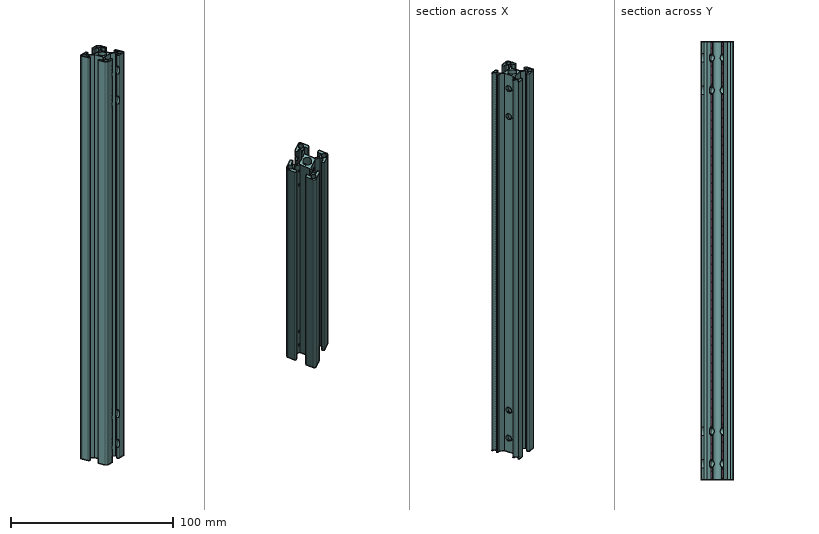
import cadquery as cq
import math

length = 270.0
side = 20.0
half_side = side / 2
corner_radius = 1.48

opening_width = 6.5
lip_thickness = 1.75
lip_radius = 0.73
slot_width = 11.0
core_width = 7.8
web_thickness = 1.0

centre_bore_diameter = 5.5
corner_bore_diameter = 3.0
corner_bore_inset = 2.2

screw_hole_diameter = 4.0
counterbore_diameter = 8.5
screw_hole_end_distances = (10.0, 30.0)


def t_slot():
    """T-slot of the +Y side: an opening with rounded lips and flanks sloping down to the core."""
    half_opening = opening_width / 2
    half_slot = slot_width / 2
    half_core = core_width / 2
    lip_underside = half_side - lip_thickness
    web_offset = web_thickness / math.sqrt(2)
    lip_centre_x = half_opening + lip_radius
    lip_centre_y = half_side - lip_radius
    lip_mid_reach = lip_radius / math.sqrt(2)
    flank_top = half_slot + web_offset
    half_floor = half_core - web_offset
    return (
        cq.Workplane("XY")
        .moveTo(-half_floor, half_core)
        .lineTo(half_floor, half_core)
        .lineTo(half_slot, flank_top)
        .lineTo(half_slot, lip_underside)
        .lineTo(half_opening, lip_underside)
        .lineTo(half_opening, lip_centre_y)
        .threePointArc(
            (lip_centre_x - lip_mid_reach, lip_centre_y + lip_mid_reach),
            (lip_centre_x, half_side),
        )
        .lineTo(-lip_centre_x, half_side)
        .threePointArc(
            (-lip_centre_x + lip_mid_reach, lip_centre_y + lip_mid_reach),
            (-half_opening, lip_centre_y),
        )
        .lineTo(-half_opening, lip_underside)
        .lineTo(-half_slot, lip_underside)
        .lineTo(-half_slot, flank_top)
        .close()
        .extrude(length)
    )


def centre_bore():
    return cq.Workplane("XY").circle(centre_bore_diameter / 2).extrude(length)


def corner_bores():
    """One bore in each corner block, over the full length."""
    spacing = side - 2 * corner_bore_inset
    return (
        cq.Workplane("XY")
        .rect(spacing, spacing, forConstruction=True)
        .vertices()
        .circle(corner_bore_diameter / 2)
        .extrude(length)
    )


def screw_holes():
    """Holes along X on the centre line, with counterbores that open the +X slot down to its floor."""
    centres = []
    for distance in screw_hole_end_distances:
        centres += [(0, distance), (0, length - distance)]
    holes = (
        cq.Workplane("YZ")
        .pushPoints(centres)
        .circle(screw_hole_diameter / 2)
        .extrude(half_side, both=True)
    )
    counterbores = (
        cq.Workplane("YZ")
        .workplane(offset=core_width / 2)
        .pushPoints(centres)
        .circle(counterbore_diameter / 2)
        .extrude(half_side - core_width / 2)
    )
    return holes.union(counterbores)


bar = cq.Workplane("XY").rect(side, side).extrude(length).edges("|Z").fillet(corner_radius)
for quarter_turn in range(4):
    bar = bar.cut(t_slot().rotate((0, 0, 0), (0, 0, 1), 90 * quarter_turn))

result = bar.cut(centre_bore()).cut(corner_bores()).cut(screw_holes())